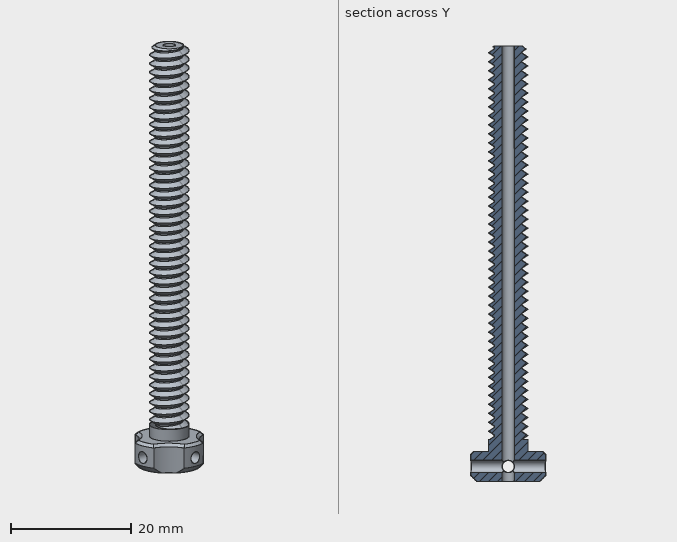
import cadquery as cq
import math

head_diameter = 12.5
head_height = 5.0
lobe_width = 4.5
lobe_count = 4
waist_radius = 5.0
top_chamfer = 0.5
bottom_chamfer = 1.0

total_height = 72.5
collar_diameter = 6.6
collar_height = 2.0
thread_pitch = 1.5
thread_depth = 0.97
root_flat = 0.22
crest_offset = -0.125
tip_chamfer_height = 0.75

bore_diameter = 2.0
cross_hole_height = head_height / 2

head_radius = head_diameter / 2
crest_radius = collar_diameter / 2
root_radius = crest_radius - thread_depth
thread_base = head_height + collar_height
thread_length = total_height - thread_base


def turned(x, y, angle):
    """Point (x, y) turned about the Z axis by an angle in degrees."""
    cosine = math.cos(math.radians(angle))
    sine = math.sin(math.radians(angle))
    return (x * cosine - y * sine, x * sine + y * cosine)


def make_head():
    """Lobed knob, chamfered along its upper outline and coned around its lower rim."""
    half_lobe = lobe_width / 2
    lobe_reach = math.sqrt(head_radius**2 - half_lobe**2)
    lobe_angle = 360 / lobe_count

    outline = cq.Workplane("XY").moveTo(lobe_reach, -half_lobe)
    for index in range(lobe_count):
        angle = index * lobe_angle
        lobe_middle = turned(head_radius, 0, angle)
        lobe_end = turned(lobe_reach, half_lobe, angle)
        waist_middle = turned(waist_radius, 0, angle + lobe_angle / 2)
        next_lobe_start = turned(lobe_reach, -half_lobe, angle + lobe_angle)
        outline = outline.threePointArc(lobe_middle, lobe_end)
        outline = outline.threePointArc(waist_middle, next_lobe_start)

    knob = outline.close().extrude(head_height).faces(">Z").chamfer(top_chamfer)
    coned_disc = cq.Workplane("XY").circle(head_radius).extrude(head_height)
    coned_disc = coned_disc.faces("<Z").chamfer(bottom_chamfer)
    return knob.intersect(coned_disc)


def make_collar():
    """Plain cylinder between the head and the thread."""
    return cq.Workplane("XY").workplane(offset=head_height).circle(crest_radius).extrude(collar_height)


def thread_helix(start):
    """One turn of a helix of the thread's pitch, from a start point above or below the X axis."""
    helix = cq.Wire.makeHelix(thread_pitch, thread_pitch, start.x, cq.Vector(0, 0, start.z))
    return helix.Edges()[0]


def make_thread_blank():
    """Right-handed rod with sharp crests and flat roots, longer than the thread and with helicoid ends.

    One turn of the side runs from crest to crest: a flank, a root and a flank, each ruled between two
    helices. Neighbours share their helices, so they join into one shell.
    """
    spare_turns = 3
    turn_count = math.ceil(thread_length / thread_pitch) + spare_turns
    flank_height = (thread_pitch - root_flat) / 2

    groove = [
        cq.Vector(crest_radius, 0, 0),
        cq.Vector(root_radius, 0, flank_height),
        cq.Vector(root_radius, 0, flank_height + root_flat),
        cq.Vector(crest_radius, 0, thread_pitch),
    ]
    helices = [thread_helix(point) for point in groove]
    turn_faces = [cq.Face.makeRuledSurface(lower, upper) for lower, upper in zip(helices, helices[1:])]

    axis_start = cq.Vector(0, 0, 0)
    axis_end = cq.Vector(0, 0, thread_pitch)
    helicoid = cq.Face.makeRuledSurface(cq.Edge.makeLine(axis_start, axis_end), helices[0])
    step_outline = cq.Wire.makePolygon([axis_start, *groove, axis_end], close=True)
    end_faces = [helicoid, cq.Face.makeFromWires(step_outline)]

    faces = []
    for turn in range(turn_count):
        turn_shift = cq.Vector(0, 0, turn * thread_pitch)
        faces += [face.translate(turn_shift) for face in turn_faces]
    for end_turn in (0, turn_count):
        end_shift = cq.Vector(0, 0, end_turn * thread_pitch)
        faces += [face.translate(end_shift) for face in end_faces]
    return cq.Workplane(obj=cq.Solid.makeSolid(cq.Shell.makeShell(faces)))


def make_thread():
    """Threaded shank, cut square at the collar and chamfered at the tip."""
    blank_base = thread_base + crest_offset - 2 * thread_pitch
    blank = make_thread_blank().translate((0, 0, blank_base))

    clearance = 0.5
    cone_slope = thread_depth / tip_chamfer_height
    outer_radius = crest_radius + clearance
    cone_base = total_height - (outer_radius - root_radius) / cone_slope
    envelope = (
        cq.Workplane("XZ")
        .moveTo(0, thread_base)
        .lineTo(outer_radius, thread_base)
        .lineTo(outer_radius, cone_base)
        .lineTo(root_radius, total_height)
        .lineTo(0, total_height)
        .close()
        .revolve(360, (0, 0, 0), (0, 1, 0))
    )
    return blank.intersect(envelope)


def cut_axial_bore(body):
    """Bore running the whole height of the part."""
    return body.cut(cq.Workplane("XY").circle(bore_diameter / 2).extrude(total_height))


def cut_cross_holes(body):
    """Two crossing holes at mid-height of the head, each through an opposite pair of lobes."""
    for plane in ("YZ", "XZ"):
        hole = cq.Workplane(plane).center(0, cross_hole_height).circle(bore_diameter / 2)
        body = body.cut(hole.extrude(head_radius, both=True))
    return body


body = make_head().union(make_collar()).union(make_thread())
body = cut_axial_bore(body)
result = cut_cross_holes(body)